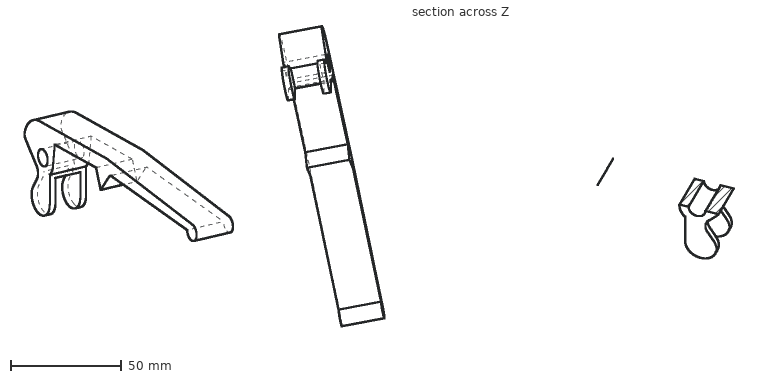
import cadquery as cq
import math

length = 143.5
width = 19.7
height = 45.3

bar_thickness = 7.3
bend_x = 68.5
tip_radius = 4.0
tip_x = length - tip_radius
tip_z = -12.8
underside_start = (71.3, -7.2)
underside_end_z = -12.9

catch_left_x = 59.5
catch_point = (63.4, -17.0)
catch_round = 1.7

nose_radius = 13.2
nose_top_x = 12.8
nose_sweep = 82.0
nose_corner_round = 3.3
pivot_x, pivot_z = 15.4, -17.0
pivot_radius = 4.0
boss_radius = 8.6
head_right_x = 25.3

slot_width = 13.3
foot_radius = 7.6
foot_x = 13.5
foot_z = foot_radius - height
arm_right_x = foot_x + foot_radius
neck_corner = (12.6, -25.4)
neck_round = 5.0


def polar(x, z, radius, degrees):
    """Point on a circle, measured counterclockwise from +X in the XZ plane."""
    angle = math.radians(degrees)
    return (x + radius * math.cos(angle), z + radius * math.sin(angle))


def tangent_angle(point, x, z, radius, side):
    """Angle on a circle where a line from an outside point touches it."""
    dx, dz = point[0] - x, point[1] - z
    offset = math.acos(radius / math.hypot(dx, dz))
    return math.degrees(math.atan2(dz, dx) + side * offset)


nose_corner = polar(nose_top_x, -nose_radius, nose_radius, 90 + nose_sweep)
pick = 0.1


def extrude_across(sketch, depth):
    return sketch.extrude(depth / 2, both=True)


def side_profile():
    """Closed outline of the lever, clockwise from the top of the nose."""
    tip_start = tangent_angle((bend_x, 0), tip_x, tip_z, tip_radius, -1)
    tip_end = math.degrees(math.asin((tip_z - underside_end_z) / tip_radius)) - 180
    foot_end = tangent_angle(neck_corner, foot_x, foot_z, foot_radius, 1)
    boss_end = -math.degrees(math.acos((arm_right_x - pivot_x) / boss_radius))
    return (
        cq.Workplane("XZ")
        .moveTo(nose_top_x, 0)
        .lineTo(bend_x, 0)
        .lineTo(*polar(tip_x, tip_z, tip_radius, tip_start))
        .threePointArc(
            polar(tip_x, tip_z, tip_radius, (tip_start + tip_end) / 2),
            polar(tip_x, tip_z, tip_radius, tip_end),
        )
        .lineTo(*underside_start)
        .lineTo(*catch_point)
        .lineTo(catch_left_x, -bar_thickness)
        .lineTo(head_right_x, -bar_thickness)
        .lineTo(*polar(pivot_x, pivot_z, boss_radius, 0))
        .threePointArc(
            polar(pivot_x, pivot_z, boss_radius, boss_end / 2),
            polar(pivot_x, pivot_z, boss_radius, boss_end),
        )
        .lineTo(arm_right_x, foot_z)
        .threePointArc(
            polar(foot_x, foot_z, foot_radius, -90),
            polar(foot_x, foot_z, foot_radius, foot_end),
        )
        .lineTo(*neck_corner)
        .lineTo(*nose_corner)
        .threePointArc(
            polar(nose_top_x, -nose_radius, nose_radius, 90 + nose_sweep / 2),
            (nose_top_x, 0),
        )
        .close()
    )


def round_corner(body, corner, radius):
    """Round the crosswise edge at one corner of the outline."""
    x, z = corner
    edge = cq.selectors.BoxSelector(
        (x - pick, -width, z - pick), (x + pick, width, z + pick)
    )
    return body.edges("|Y").edges(edge).fillet(radius)


def slot_cutter():
    """Flat-topped gap between the arms, level with the bottom of the pivot boss."""
    slot_top = pivot_z - boss_radius
    slot_height = slot_top + height
    return cq.Workplane("XY", origin=(0, 0, -height)).box(
        head_right_x, slot_width, slot_height, centered=(False, True, False)
    )


lever = extrude_across(side_profile(), width)
lever = round_corner(lever, nose_corner, nose_corner_round)
lever = round_corner(lever, neck_corner, neck_round)
lever = round_corner(lever, underside_start, catch_round)

pivot_hole = extrude_across(cq.Workplane("XZ").center(pivot_x, pivot_z).circle(pivot_radius), width)
result = lever.cut(slot_cutter()).cut(pivot_hole)